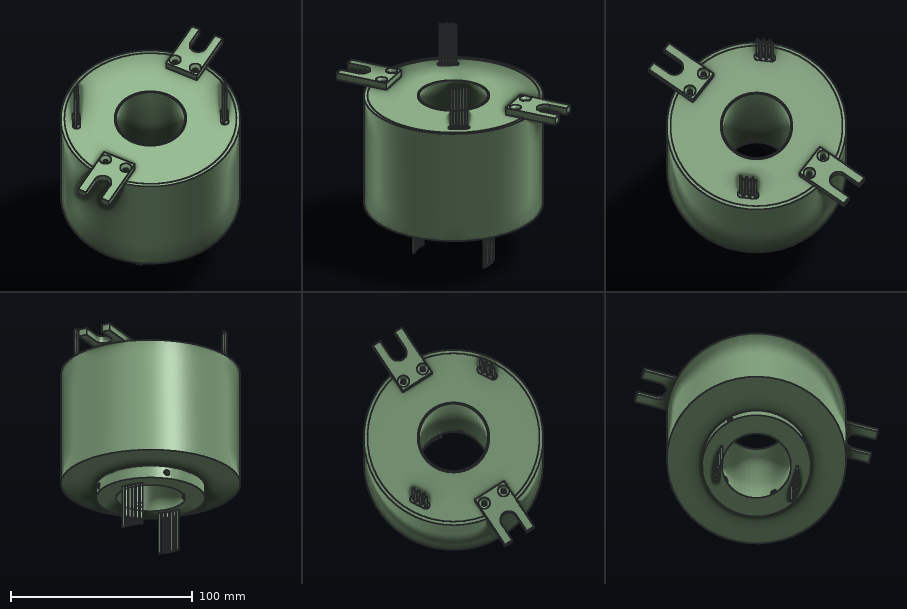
import cadquery as cq
import math

housing_height = 65.5
neck_height = 1.6
collar_height = 7.0
wire_length = 24.05
neck_bottom_z = -neck_height
collar_bottom_z = neck_bottom_z - collar_height

housing_radius = 49.5
housing_wall = 2.0
shaft_outer_radius = 19.8
bore_radius = 19.0
neck_radius = 27.0
collar_radius = 30.0

plate_recess = 0.1
window_recess = 0.1

bracket_tip_y = 67.0
bracket_inner_y = 36.5
bracket_width = 19.2
bracket_thickness = 4.0
fork_width = 9.5
fork_centre_y = 56.25
screw_x = 6.35
screw_y = 41.0
screw_diameter = 2.7
screw_head_diameter = 6.4
screw_head_angle = 90.0
screw_depth = 8.0
drill_point_angle = 90.0

set_screw_diameter = 3.0
set_screw_count = 4
set_screw_first_angle = 45.0

wire_diameter = 1.2
wires_per_group = 6
wire_embedment = 1.0
top_group_radius = 40.9
top_group_angles = (30.0, 210.0)
zigzag_pitch = 1.67
zigzag_offset = 0.6
window_length = 11.7
window_width = 4.2
bottom_group_radius = 22.4
bottom_group_angles = (90.0, 270.0)
bottom_wire_pitch = 5.85


def centred_steps(pitch):
    """Evenly spaced positions of one wire group, centred on zero."""
    return [pitch * (i - (wires_per_group - 1) / 2) for i in range(wires_per_group)]


def make_body():
    """Housing, neck and collar as one revolved shape, bored through."""
    plate_z = housing_height - plate_recess
    plate_radius = housing_radius - housing_wall
    return (
        cq.Workplane("XZ")
        .moveTo(bore_radius, collar_bottom_z)
        .lineTo(collar_radius, collar_bottom_z)
        .lineTo(collar_radius, neck_bottom_z)
        .lineTo(neck_radius, neck_bottom_z)
        .lineTo(neck_radius, 0)
        .lineTo(housing_radius, 0)
        .lineTo(housing_radius, housing_height)
        .lineTo(plate_radius, housing_height)
        .lineTo(plate_radius, plate_z)
        .lineTo(shaft_outer_radius, plate_z)
        .lineTo(shaft_outer_radius, housing_height)
        .lineTo(bore_radius, housing_height)
        .close()
        .revolve(360, (0, 0, 0), (0, 1, 0))
    )


def make_bracket():
    """The +Y bracket: a plate lying on the end plate, with a round-bottomed open fork."""
    bottom_z = housing_height - plate_recess
    height = bracket_thickness + plate_recess
    plate = (
        cq.Workplane("XY")
        .workplane(offset=bottom_z)
        .center(0, (bracket_tip_y + bracket_inner_y) / 2)
        .rect(bracket_width, bracket_tip_y - bracket_inner_y)
        .extrude(height)
    )
    fork_radius = fork_width / 2
    fork = (
        cq.Workplane("XY")
        .workplane(offset=bottom_z)
        .moveTo(-fork_radius, bracket_tip_y)
        .lineTo(-fork_radius, fork_centre_y)
        .threePointArc((0, fork_centre_y - fork_radius), (fork_radius, fork_centre_y))
        .lineTo(fork_radius, bracket_tip_y)
        .close()
        .extrude(height)
    )
    return plate.cut(fork)


def make_screw_hole(x):
    """Countersunk blind hole with a drill point, through the +Y bracket into the end plate."""
    hole_radius = screw_diameter / 2
    head_radius = screw_head_diameter / 2
    head_depth = (head_radius - hole_radius) / math.tan(math.radians(screw_head_angle / 2))
    point_depth = hole_radius / math.tan(math.radians(drill_point_angle / 2))
    top_z = housing_height + bracket_thickness
    return (
        cq.Workplane("XZ")
        .moveTo(0, top_z)
        .lineTo(head_radius, top_z)
        .lineTo(hole_radius, top_z - head_depth)
        .lineTo(hole_radius, top_z - screw_depth)
        .lineTo(0, top_z - screw_depth - point_depth)
        .close()
        .revolve(360, (0, 0, 0), (0, 1, 0))
        .translate((x, screw_y, 0))
    )


def make_set_screw_hole(angle):
    """Radial hole through the collar wall at mid height."""
    hole = (
        cq.Workplane("YZ")
        .workplane(offset=bore_radius / 2)
        .center(0, (neck_bottom_z + collar_bottom_z) / 2)
        .circle(set_screw_diameter / 2)
        .extrude(collar_radius)
    )
    return hole.rotate((0, 0, 0), (0, 0, 1), angle)


def make_cable_window(angle):
    """Shallow slot, lying tangentially, where a top wire group leaves the end plate."""
    floor_z = housing_height - plate_recess - window_recess
    window = (
        cq.Workplane("XY")
        .workplane(offset=floor_z)
        .center(top_group_radius, 0)
        .slot2D(window_length, window_width, 90)
        .extrude(window_recess)
    )
    return window.rotate((0, 0, 0), (0, 0, 1), angle)


def make_top_wires(angle):
    """Wires in two staggered rows, standing in one cable window."""
    points = []
    for i, along in enumerate(centred_steps(zigzag_pitch)):
        side = -zigzag_offset if i % 2 == 0 else zigzag_offset
        points.append((top_group_radius + side, along))
    wires = (
        cq.Workplane("XY")
        .workplane(offset=housing_height - wire_embedment)
        .pushPoints(points)
        .circle(wire_diameter / 2)
        .extrude(wire_length + wire_embedment)
    )
    return wires.rotate((0, 0, 0), (0, 0, 1), angle)


def make_bottom_wires(angle):
    """Wires on an arc, hanging from the underside of the collar."""
    points = []
    for step in centred_steps(bottom_wire_pitch):
        direction = math.radians(angle + step)
        x = bottom_group_radius * math.cos(direction)
        y = bottom_group_radius * math.sin(direction)
        points.append((x, y))
    return (
        cq.Workplane("XY")
        .workplane(offset=collar_bottom_z - wire_length)
        .pushPoints(points)
        .circle(wire_diameter / 2)
        .extrude(wire_length + wire_embedment)
    )


result = make_body()

for angle in top_group_angles:
    result = result.cut(make_cable_window(angle))
    result = result.union(make_top_wires(angle))

for angle in bottom_group_angles:
    result = result.union(make_bottom_wires(angle))

for i in range(set_screw_count):
    result = result.cut(make_set_screw_hole(set_screw_first_angle + i * 360 / set_screw_count))

for turn in (0, 180):
    bracket = make_bracket().rotate((0, 0, 0), (0, 0, 1), turn)
    result = result.union(bracket)
    for x in (-screw_x, screw_x):
        result = result.cut(make_screw_hole(x).rotate((0, 0, 0), (0, 0, 1), turn))